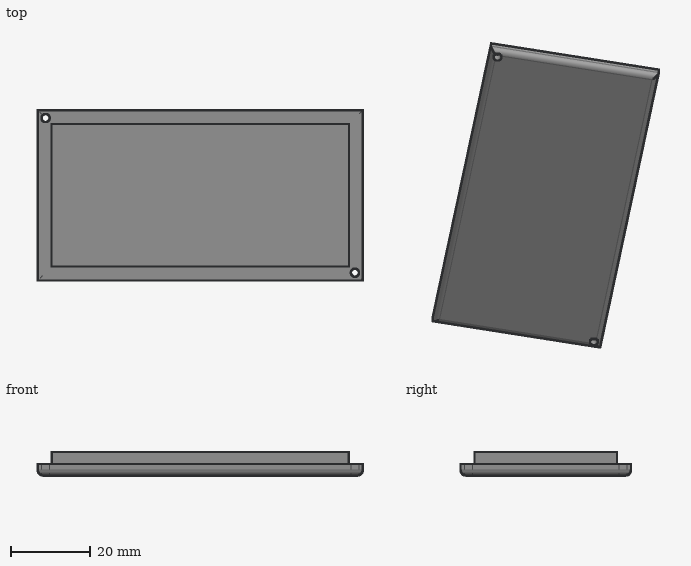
import cadquery as cq

plate_length = 82.0
plate_width = 43.0
plate_thickness = 3.0
edge_radius = 1.5

block_length = 75.0
block_width = 36.0
block_height = 3.0

hole_diameter = 2.0
hole_inset = 2.0


def make_plate():
    """Flat plate with its bottom edges rounded; the bottom lies at Z = 0."""
    plate = cq.Workplane("XY").box(
        plate_length, plate_width, plate_thickness, centered=(True, True, False)
    )
    return plate.faces("<Z").edges().fillet(edge_radius)


def add_block(body):
    """Raise the rectangular block from the top of the plate."""
    block = (
        cq.Workplane("XY", origin=(0, 0, plate_thickness))
        .box(block_length, block_width, block_height, centered=(True, True, False))
    )
    return body.union(block)


def cut_corner_holes(body):
    """Drill the plate at its -X +Y and +X -Y corners."""
    hole_x = plate_length / 2 - hole_inset
    hole_y = plate_width / 2 - hole_inset
    holes = (
        cq.Workplane("XY")
        .pushPoints([(-hole_x, hole_y), (hole_x, -hole_y)])
        .circle(hole_diameter / 2)
        .extrude(plate_thickness)
    )
    return body.cut(holes)


result = cut_corner_holes(add_block(make_plate()))